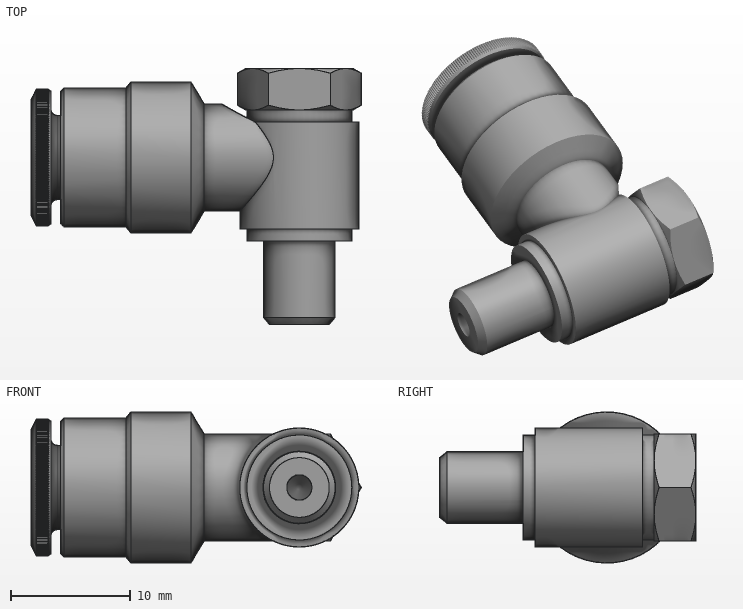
import cadquery as cq
import math


total_length = 27.7
hex_across_flats = 9.0
hex_corner_radius = hex_across_flats / math.sqrt(3)
bolt_axis_x = total_length - hex_corner_radius

tube_bore_radius = 6.3 / 2
inlet_hole_radius = 2.0 / 2
drill_point_half_angle = math.radians(59)

ring_face_radius = 4.88
ring_tooth_radius = 5.75
ring_root_radius = 5.68
ring_back_radius = 5.57
ring_front_chamfer_end = 0.45
ring_back_chamfer_start = 1.35
ring_flange_end = 1.65
tooth_count = 180
tooth_crest_share = 0.2
groove_floor_share = 0.2
neck_radius = 7.1 / 2
neck_fillet = 0.53

sleeve_radius = 11.7 / 2
sleeve_start = 2.47
sleeve_chamfer = 0.3
sleeve_end = 11.08

socket_radius = 12.7 / 2
socket_start = 7.95
socket_chamfer_end = 8.37
socket_cone_start = 13.4
socket_cone_end = 14.51
barrel_diameter = 10.0
barrel_radius = barrel_diameter / 2
stem_radius = 9.0 / 2
tube_stop = socket_cone_start
barrel_top = 3.0
barrel_bottom = -6.0
barrel_middle = (barrel_top + barrel_bottom) / 2
boss_radius = 8.8 / 2
boss_height = 1.0
bolt_bore_radius = 6.1 / 2

bolt_radius = 6.0 / 2
bolt_tip_radius = 5.0 / 2
bolt_tip_chamfer = 0.6
bolt_hole_radius = 2.1 / 2
total_width = 21.5
head_height = 3.5
head_chamfer_angle = math.radians(30)
head_bottom = barrel_top + boss_height
head_top = head_bottom + head_height
bolt_end = head_top - total_width


def drill_point_depth(start_radius, end_radius=0.0):
    """Axial length of a drill-point cone between two radii."""
    return (start_radius - end_radius) / math.tan(drill_point_half_angle)


def revolve_about_inlet(points):
    """Solid of revolution about the inlet axis from (x, radius) points."""
    return cq.Workplane("XY").polyline(points).close().revolve(360, (0, 0), (1, 0))


def revolve_about_bolt(points):
    """Solid of revolution about the bolt axis from (radius, y) points."""
    outline = cq.Workplane("XY").polyline(points).close()
    return outline.revolve(360, (0, 0), (0, 1)).translate((bolt_axis_x, 0, 0))


def bolt_cylinder(radius, start_y, end_y):
    """Cylinder on the bolt axis between two Y positions."""
    return revolve_about_bolt([(0, start_y), (radius, start_y), (radius, end_y), (0, end_y)])


def knurl_blank():
    """Prism with flat-topped teeth all round, as long as the ring flange."""
    pitch_angle = 2 * math.pi / tooth_count
    half_pitch = 1 / 2
    half_crest = tooth_crest_share / 2
    half_floor = groove_floor_share / 2
    tooth_profile = [
        (ring_tooth_radius, -half_crest),
        (ring_tooth_radius, half_crest),
        (ring_root_radius, half_pitch - half_floor),
        (ring_root_radius, half_pitch + half_floor),
    ]
    tooth_points = []
    for index in range(tooth_count):
        for radius, place in tooth_profile:
            angle = pitch_angle * (index + place)
            tooth_points.append((radius * math.cos(angle), radius * math.sin(angle)))
    return cq.Workplane("YZ").polyline(tooth_points).close().extrude(ring_flange_end)


def make_release_ring():
    """Knurled flange with a neck, filleted at its root, that slides in the sleeve."""
    flange = revolve_about_inlet([
        (0, 0),
        (0, ring_face_radius),
        (ring_front_chamfer_end, ring_tooth_radius),
        (ring_back_chamfer_start, ring_tooth_radius),
        (ring_flange_end, ring_back_radius),
        (ring_flange_end, 0),
    ]).intersect(knurl_blank())
    neck = (
        cq.Workplane("XY")
        .moveTo(ring_flange_end, 0)
        .lineTo(sleeve_end, 0)
        .lineTo(sleeve_end, neck_radius)
        .lineTo(ring_flange_end + neck_fillet, neck_radius)
        .tangentArcPoint((ring_flange_end, neck_radius + neck_fillet), relative=False)
        .close()
        .revolve(360, (0, 0), (1, 0))
    )
    bore = cq.Workplane("YZ").circle(tube_bore_radius).extrude(sleeve_end)
    return flange.union(neck).cut(bore)


def make_sleeve():
    """Plain sleeve pressed into the socket of the elbow."""
    return revolve_about_inlet([
        (sleeve_start, neck_radius),
        (sleeve_start, sleeve_radius - sleeve_chamfer),
        (sleeve_start + sleeve_chamfer, sleeve_radius),
        (sleeve_end, sleeve_radius),
        (sleeve_end, neck_radius),
    ])


def inlet_passage():
    """Sleeve seat, tube bore with its drill point, and the hole into the barrel."""
    point_end = tube_stop + drill_point_depth(tube_bore_radius, inlet_hole_radius)
    return revolve_about_inlet([
        (socket_start, 0),
        (socket_start, sleeve_radius),
        (sleeve_end, sleeve_radius),
        (sleeve_end, tube_bore_radius),
        (tube_stop, tube_bore_radius),
        (point_end, inlet_hole_radius),
        (bolt_axis_x, inlet_hole_radius),
        (bolt_axis_x, 0),
    ])


def head_clearance():
    """45 degree cone that trims the stem away beside the bolt head."""
    return revolve_about_bolt([
        (0, barrel_top),
        (barrel_radius, barrel_top),
        (barrel_radius + head_height, barrel_top + head_height),
        (0, barrel_top + head_height),
    ])


def make_elbow():
    """Inlet socket and stem joined to the barrel that the bolt clamps."""
    inlet = revolve_about_inlet([
        (socket_start, 0),
        (socket_start, sleeve_radius),
        (socket_chamfer_end, socket_radius),
        (socket_cone_start, socket_radius),
        (socket_cone_end, stem_radius),
        (bolt_axis_x, stem_radius),
        (bolt_axis_x, 0),
    ])
    barrel = bolt_cylinder(barrel_radius, barrel_bottom, barrel_top)
    boss_bottom = barrel_bottom - boss_height
    bosses = bolt_cylinder(boss_radius, boss_bottom, head_bottom)
    bolt_bore = bolt_cylinder(bolt_bore_radius, boss_bottom, head_bottom)
    body = inlet.cut(head_clearance()).union(barrel).union(bosses)
    return body.cut(inlet_passage()).cut(bolt_bore)


def make_bolt_head():
    """Hexagon with corners along X, chamfered at both ends."""
    hexagon = (
        cq.Workplane("XZ", origin=(bolt_axis_x, head_bottom, 0))
        .polygon(6, 2 * hex_corner_radius)
        .extrude(-head_height)
    )
    face_radius = hex_across_flats / 2
    chamfer_height = (hex_corner_radius - face_radius) * math.tan(head_chamfer_angle)
    chamfer_envelope = revolve_about_bolt([
        (0, head_bottom),
        (face_radius, head_bottom),
        (hex_corner_radius, head_bottom + chamfer_height),
        (hex_corner_radius, head_top - chamfer_height),
        (face_radius, head_top),
        (0, head_top),
    ])
    return hexagon.intersect(chamfer_envelope)


def make_banjo_bolt():
    """Hollow bolt with a cross hole at the middle of the barrel."""
    shank = revolve_about_bolt([
        (0, bolt_end),
        (bolt_tip_radius, bolt_end),
        (bolt_radius, bolt_end + bolt_tip_chamfer),
        (bolt_radius, head_bottom),
        (0, head_bottom),
    ])
    hole_end = barrel_middle + bolt_hole_radius
    axial_hole = revolve_about_bolt([
        (0, bolt_end),
        (bolt_hole_radius, bolt_end),
        (bolt_hole_radius, hole_end),
        (0, hole_end + drill_point_depth(bolt_hole_radius)),
    ])
    cross_hole = (
        cq.Workplane("YZ", origin=(bolt_axis_x, barrel_middle, 0))
        .circle(bolt_hole_radius)
        .extrude(bolt_radius, both=True)
    )
    return make_bolt_head().union(shank).cut(axial_hole).cut(cross_hole)


release_ring = make_release_ring()
sleeve = make_sleeve()
elbow = make_elbow()
banjo_bolt = make_banjo_bolt()

result = cq.Compound.makeCompound([
    release_ring.val(),
    sleeve.val(),
    elbow.val(),
    banjo_bolt.val(),
])